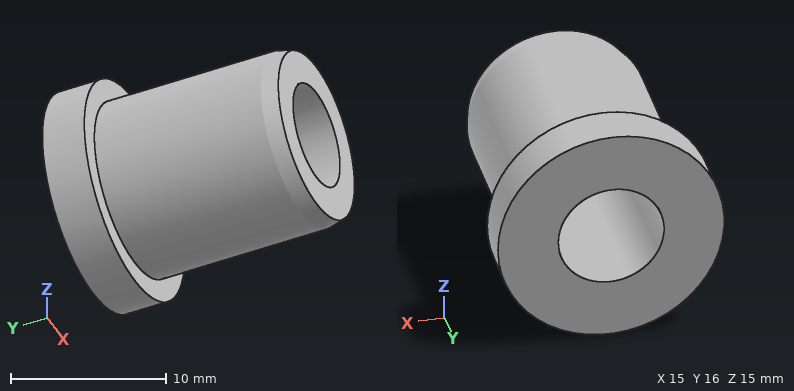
import cadquery as cq
import math

total_length = 16.0
flange_diameter = 15.0
flange_thickness = 3.0
shank_diameter = 12.0
bore_diameter = 7.0
lead_in_length = 1.12
lead_in_angle = 15.0

flange_radius = flange_diameter / 2
shank_radius = shank_diameter / 2
bore_radius = bore_diameter / 2
tip_radius = shank_radius - lead_in_length * math.tan(math.radians(lead_in_angle))
flange_face = total_length - flange_thickness

half_section = (
    cq.Workplane("XY")
    .moveTo(bore_radius, 0)
    .lineTo(tip_radius, 0)
    .lineTo(shank_radius, lead_in_length)
    .lineTo(shank_radius, flange_face)
    .lineTo(flange_radius, flange_face)
    .lineTo(flange_radius, total_length)
    .lineTo(bore_radius, total_length)
    .close()
)

result = half_section.revolve(360, (0, 0, 0), (0, 1, 0))